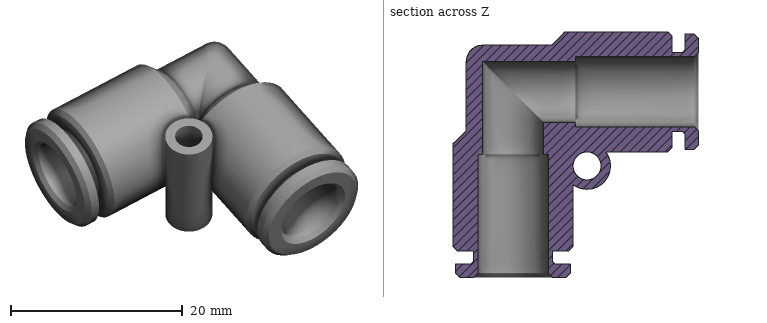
import cadquery as cq
import math

overall_length = 28.6

body_radius = 14.0 / 2
neck_radius = 5.5
neck_length = 4.5
shoulder_end = neck_length + body_radius - neck_radius
body_end = 18.53
body_chamfer = 0.51

port_length = overall_length - body_radius
stem_radius = 9.3 / 2
stem_flare = 0.25
flange_radius = 13.5 / 2
flange_start = 20.0
flange_chamfer = 0.55

passage_radius = 7.0 / 2
socket_radius = 8.15 / 2
socket_floor = 7.3
mouth_bevel = 0.5

corner_radius = 2.0

eyelet_offset = 8.6
eyelet_radius = 5.5 / 2
eyelet_hole_radius = 3.2 / 2

reach = 2 * overall_length


def vertical_prism(outline):
    """Prism on a plan outline, tall enough to span the part in Z."""
    return cq.Workplane("XY").polyline(outline).close().extrude(body_radius, both=True)


def revolved_about_x(profile):
    """Solid of revolution about X from (x, radius) points that start and end on the axis."""
    return cq.Workplane("XY").polyline(profile).close().revolve(360, (0, 0, 0), (1, 0, 0))


def mitred_pair(port):
    """Cut an X-axis port at the mitre plane Y = -X and join its mirror image in that plane."""
    x_side = vertical_prism([(-reach, reach), (reach, reach), (reach, -reach)])
    x_port = port.intersect(x_side)
    y_port = x_port.rotate((0, 0, 0), (0, 0, 1), -90).mirror("YZ")
    return x_port.union(y_port)


def sharp_elbow():
    return mitred_pair(revolved_about_x([
        (-neck_radius, 0),
        (-neck_radius, neck_radius),
        (neck_length, neck_radius),
        (shoulder_end, body_radius),
        (body_end - body_chamfer, body_radius),
        (body_end, body_radius - body_chamfer),
        (body_end, stem_radius),
        (flange_start - stem_flare, stem_radius),
        (flange_start, stem_radius + stem_flare),
        (flange_start, flange_radius),
        (port_length - flange_chamfer, flange_radius),
        (port_length, flange_radius - flange_chamfer),
        (port_length, 0),
    ]))


def bores():
    return mitred_pair(revolved_about_x([
        (-passage_radius, 0),
        (-passage_radius, passage_radius),
        (socket_floor, passage_radius),
        (socket_floor, socket_radius),
        (port_length - mouth_bevel, socket_radius),
        (port_length, socket_radius + mouth_bevel),
        (port_length, 0),
    ]))


def round_outer_corner(elbow):
    """Round the outer mitre edge as a ball of corner_radius rolled along its inside.

    The ball centre follows a half ellipse in the mitre plane. The ball touches each
    neck along a vertical plane through the Z axis; the wedge between those two
    planes is replaced by the rolled shape.
    """
    centre_height = neck_radius - corner_radius
    centre_reach = centre_height * math.sqrt(2)
    wedge = vertical_prism([
        (0, 0),
        (-2 * neck_radius, 2 * centre_height),
        (-2 * centre_height, 2 * neck_radius),
    ])

    mitre_plane = cq.Plane(origin=(0, 0, 0), xDir=(-1, 1, 0), normal=(1, 1, 0))
    core = cq.Workplane(mitre_plane).ellipse(centre_reach, centre_height).extrude(corner_radius, both=True)

    ball_path = (
        cq.Workplane(mitre_plane)
        .moveTo(0, -centre_height)
        .ellipseArc(centre_reach, centre_height, -90, 90, startAtCurrent=True)
    )
    path_start = cq.Plane(origin=(0, 0, -centre_height), xDir=(0, 0, 1), normal=(-1, 1, 0))
    ball_track = cq.Workplane(path_start).circle(corner_radius).sweep(ball_path)

    rolled = core.intersect(wedge).union(ball_track.intersect(wedge))
    return elbow.cut(wedge).union(rolled)


def eyelet_cylinder(radius):
    return (
        cq.Workplane("XY", origin=(eyelet_offset, -eyelet_offset, -body_radius))
        .circle(radius)
        .extrude(2 * body_radius)
    )


result = (
    round_outer_corner(sharp_elbow())
    .union(eyelet_cylinder(eyelet_radius))
    .cut(eyelet_cylinder(eyelet_hole_radius))
    .cut(bores())
)